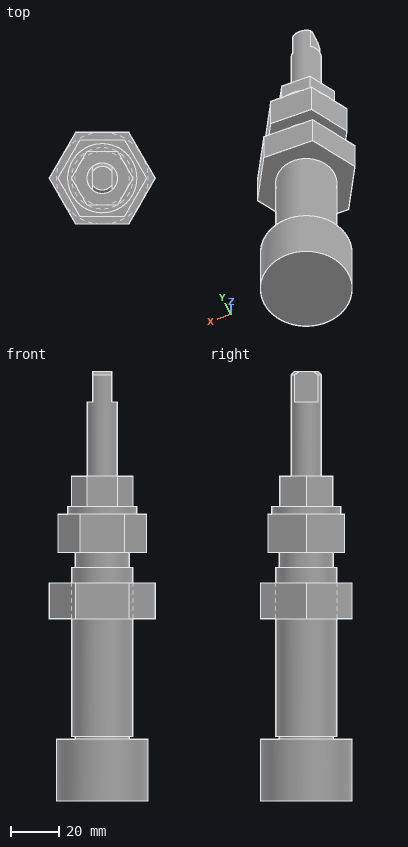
import cadquery as cq
import math

KNOB_TOP = 25.6
RELIEF_TOP = 26.7
NUT_BOTTOM = 75.4
NUT_TOP = 90.3
BARREL_TOP = 96.7
WRENCH_HEX_BOTTOM = 102.8
WRENCH_HEX_TOP = 118.8
COLLAR_TOP = 122.0
END_HEX_TOP = 134.5
ROD_TOP = 177.8

KNOB_DIAMETER = 38.0
BARREL_DIAMETER = 25.5
NECK_DIAMETER = 22.4
COLLAR_DIAMETER = 28.6
ROD_DIAMETER = 12.6

NUT_WIDTH = KNOB_DIAMETER
WRENCH_HEX_WIDTH = 31.8
END_HEX_WIDTH = 22.0

TIP_THICKNESS = 8.0
FLAT_LENGTH = 12.6
TIP_CHAMFER = 1.5


def cylinder(diameter, bottom, top):
    """Upright cylinder centred on the Z axis."""
    return cq.Workplane("XY").workplane(offset=bottom).circle(diameter / 2).extrude(top - bottom)


def hexagon(width, bottom, top):
    """Upright hexagonal prism with corners on the X axis and flats facing Y."""
    corner_diameter = width / math.cos(math.pi / 6)
    return cq.Workplane("XY").workplane(offset=bottom).polygon(6, corner_diameter).extrude(top - bottom)


def make_housing():
    """Knob, relief groove, barrel, neck, wrench hexagon, collar and end hexagon."""
    return (
        cylinder(KNOB_DIAMETER, 0, KNOB_TOP)
        .union(cylinder(NECK_DIAMETER, KNOB_TOP, RELIEF_TOP))
        .union(cylinder(BARREL_DIAMETER, RELIEF_TOP, BARREL_TOP))
        .union(cylinder(NECK_DIAMETER, BARREL_TOP, WRENCH_HEX_BOTTOM))
        .union(hexagon(WRENCH_HEX_WIDTH, WRENCH_HEX_BOTTOM, WRENCH_HEX_TOP))
        .union(cylinder(COLLAR_DIAMETER, WRENCH_HEX_TOP, COLLAR_TOP))
        .union(hexagon(END_HEX_WIDTH, COLLAR_TOP, END_HEX_TOP))
    )


def make_lock_nut():
    """Hexagonal nut whose bore fits the housing barrel."""
    bore = cylinder(BARREL_DIAMETER, NUT_BOTTOM, NUT_TOP)
    return hexagon(NUT_WIDTH, NUT_BOTTOM, NUT_TOP).cut(bore)


def make_rod():
    """Round rod standing on the end hexagon, with a chamfered tip and two flats facing X."""
    rod = cylinder(ROD_DIAMETER, END_HEX_TOP, ROD_TOP).faces(">Z").chamfer(TIP_CHAMFER)
    flat_depth = (ROD_DIAMETER - TIP_THICKNESS) / 2
    flat_offset = (TIP_THICKNESS + flat_depth) / 2
    flat_cutters = (
        cq.Workplane("XY")
        .workplane(offset=ROD_TOP - FLAT_LENGTH)
        .pushPoints([(-flat_offset, 0), (flat_offset, 0)])
        .rect(flat_depth, ROD_DIAMETER)
        .extrude(FLAT_LENGTH)
    )
    return rod.cut(flat_cutters)


housing = make_housing()
lock_nut = make_lock_nut()
rod = make_rod()

result = cq.Compound.makeCompound([housing.val(), lock_nut.val(), rod.val()])